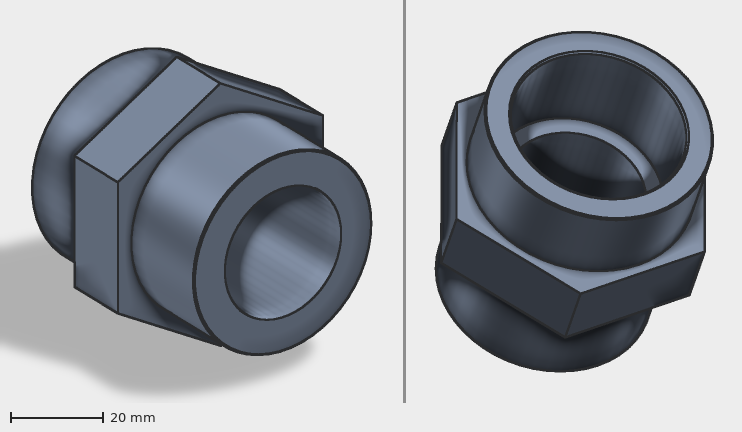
import cadquery as cq

total_length = 58.0
left_length = 19.0
hex_length = 16.0
socket_depth = 24.0

left_diameter = 50.6
right_diameter = 47.8
socket_diameter = 38.9
socket_mouth_diameter = 39.9
bore_diameter = 31.2
hex_corner_diameter = 63.5
hex_twist = 0.1

end_chamfer = 0.3
mouth_chamfer = (socket_mouth_diameter - socket_diameter) / 2


def cylinder(diameter, start, length):
    """Solid cylinder on the X axis, running in +X from start."""
    return cq.Workplane("YZ", origin=(start, 0, 0)).circle(diameter / 2).extrude(length)


left_end = cylinder(left_diameter, 0, left_length).faces("<X").chamfer(end_chamfer)

right_start = left_length + hex_length
right_length = total_length - right_start
right_end = cylinder(right_diameter, right_start, right_length).faces(">X").chamfer(end_chamfer)

collar = (
    cq.Workplane("YZ", origin=(left_length, 0, 0))
    .polygon(6, hex_corner_diameter)
    .extrude(hex_length)
    .rotate((0, 0, 0), (1, 0, 0), 90 + hex_twist)
)
body = left_end.union(collar).union(right_end)

body = body.cut(cylinder(bore_diameter, 0, total_length))

socket = (
    cq.Workplane("XY")
    .lineTo(0, socket_mouth_diameter / 2)
    .lineTo(mouth_chamfer, socket_diameter / 2)
    .lineTo(socket_depth, socket_diameter / 2)
    .lineTo(socket_depth, 0)
    .close()
    .revolve(360, (0, 0, 0), (1, 0, 0))
)
result = body.cut(socket)